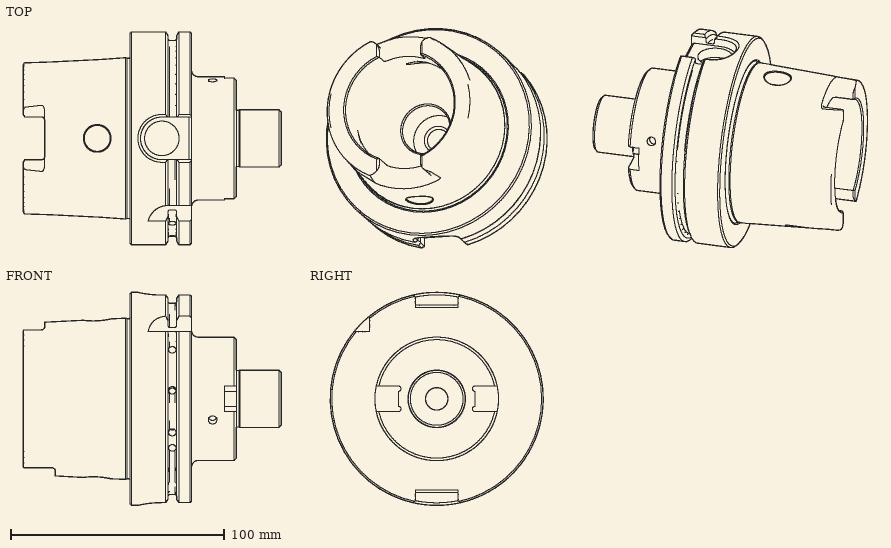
import cadquery as cq
import math


SHANK_LENGTH = 50.0
SHANK_END_RADIUS = 35.5
TAPER_SLOPE = 0.05
SHANK_END_ROUNDING = 1.2
RELIEF_START = 2.1
RELIEF_FLOOR_START = 1.4
RELIEF_RADIUS = 37.65
RELIEF_FILLET = 0.75
RELIEF_UNDERCUT = 0.2
RELIEF_RUNOUT_RADIUS = 39.0

FLANGE_WIDTH = 29.0
FLANGE_RADIUS = 50.0
FLANGE_CHAMFER = 0.8
GROOVE_CENTER = 19.9
GROOVE_FLOOR_WIDTH = 4.0
GROOVE_MOUTH_WIDTH = 6.2
GROOVE_FLOOR_RADIUS = 46.0
GROOVE_KNEE_RADIUS = 48.2
GROOVE_FILLET = 0.75

HUB_END = 50.0
HUB_RADIUS = 29.0
HUB_FILLET = 3.0
HUB_CHAMFER = 1.2
PILOT_END = 71.0
PILOT_RADIUS = 13.5
PILOT_CHAMFER = 1.1
PILOT_NECK_RADIUS = 13.3
PILOT_NECK_WIDTH = 1.2
PILOT_NECK_RUNOUT = 0.5

CLAMP_BORE_RADIUS = 26.5
CLAMP_BORE_CHAMFER = 0.7
CLAMP_BORE_LENGTH = 19.5
UNDERCUT_ANGLE = 12.0
UNDERCUT_FILLET = 5.0
CLAMP_FLOOR_RADIUS = 25.9
TUBE_BORE_RADIUS = 11.6
TUBE_BORE_CHAMFER = 0.7
TUBE_BORE_DEPTH = 20.0
THROUGH_RADIUS = 5.2
THROUGH_CHAMFER = 1.2

SHANK_SLOT_HALF_WIDTH = 10.0
SHANK_SLOT_DEPTH_TOP = 10.0
SHANK_SLOT_DEPTH_BOTTOM = 15.0
SHANK_SLOT_WALL_TOP = 27.4
SHANK_SLOT_CORNER_RADIUS = 5.0
SHANK_SLOT_END_FILLET = 1.5
SHANK_SLOT_MOUTH_CHAMFER = 1.1
SHANK_SLOT_MOUTH_LENGTH = 0.7

ACCESS_HOLE_X = -15.3
ACCESS_HOLE_RADIUS = 6.1
ACCESS_HOLE_CHAMFER = 0.4

KEYWAY_CENTER_X = 15.0
KEYWAY_RADIUS = 10.0
KEYWAY_FLOOR = 44.0
KEYWAY_EDGE_CHAMFER = 1.25
KEYWAY_FLOOR_CHAMFER = 1.2
DATA_HOLE_RADIUS = 8.1
DATA_HOLE_DEPTH = 5.0

NOTCH_CORNER = 31.5
NOTCH_CUTTER_RADIUS = 9.5
NOTCH_CUTTER_X = 17.8

GROOVE_HOLE_ANGLES = (30.0, 5.0, -20.0, -30.0)
GROOVE_HOLE_RADIUS = 1.75
GROOVE_HOLE_DEPTH = 8.0

HUB_SLOT_WIDTH = 12.0
HUB_SLOT_LENGTH = 5.5
HUB_SLOT_FLOOR = 18.0
HUB_SLOT_RELIEF_RADIUS = 1.25
SCREW_HOLE_X = 38.8
SCREW_HOLE_ANGLE = -20.0
SCREW_HOLE_RADIUS = 2.0
SCREW_HOLE_DEPTH = 5.0

DRILL_POINT_ANGLE = 118.0
CLEARANCE = 10.0

CORNER_ARC_INSET = 1 - math.sqrt(0.5)


def revolve_about_axis(profile):
    return profile.close().revolve(360, (0, 0, 0), (1, 0, 0))


def shank_radius(x):
    return SHANK_END_RADIUS + TAPER_SLOPE * (x + SHANK_LENGTH)


def make_body():
    rounding_end_x = -SHANK_LENGTH + SHANK_END_ROUNDING
    rounding_end_radius = shank_radius(rounding_end_x)
    rounding_inset = SHANK_END_ROUNDING * CORNER_ARC_INSET
    relief_fillet_x = RELIEF_UNDERCUT - RELIEF_FILLET
    relief_fillet_inset = RELIEF_FILLET * CORNER_ARC_INSET
    neck_end = HUB_END + PILOT_NECK_WIDTH
    arc_offset = HUB_FILLET * CORNER_ARC_INSET
    profile = (
        cq.Workplane("XZ")
        .moveTo(-SHANK_LENGTH, 0)
        .lineTo(-SHANK_LENGTH, rounding_end_radius - SHANK_END_ROUNDING)
        .threePointArc(
            (-SHANK_LENGTH + rounding_inset, rounding_end_radius - rounding_inset),
            (rounding_end_x, rounding_end_radius),
        )
        .lineTo(-RELIEF_START, shank_radius(-RELIEF_START))
        .lineTo(-RELIEF_FLOOR_START, RELIEF_RADIUS)
        .lineTo(relief_fillet_x, RELIEF_RADIUS)
        .threePointArc(
            (RELIEF_UNDERCUT - relief_fillet_inset, RELIEF_RADIUS + relief_fillet_inset),
            (RELIEF_UNDERCUT, RELIEF_RADIUS + RELIEF_FILLET),
        )
        .lineTo(0, RELIEF_RUNOUT_RADIUS)
        .lineTo(0, FLANGE_RADIUS - FLANGE_CHAMFER)
        .lineTo(FLANGE_CHAMFER, FLANGE_RADIUS)
        .lineTo(FLANGE_WIDTH - FLANGE_CHAMFER, FLANGE_RADIUS)
        .lineTo(FLANGE_WIDTH, FLANGE_RADIUS - FLANGE_CHAMFER)
        .lineTo(FLANGE_WIDTH, HUB_RADIUS + HUB_FILLET)
        .threePointArc(
            (FLANGE_WIDTH + arc_offset, HUB_RADIUS + arc_offset),
            (FLANGE_WIDTH + HUB_FILLET, HUB_RADIUS),
        )
        .lineTo(HUB_END - HUB_CHAMFER, HUB_RADIUS)
        .lineTo(HUB_END, HUB_RADIUS - HUB_CHAMFER)
        .lineTo(HUB_END, PILOT_NECK_RADIUS)
        .lineTo(neck_end, PILOT_NECK_RADIUS)
        .lineTo(neck_end + PILOT_NECK_RUNOUT, PILOT_RADIUS)
        .lineTo(PILOT_END - PILOT_CHAMFER, PILOT_RADIUS)
        .lineTo(PILOT_END, PILOT_RADIUS - PILOT_CHAMFER)
        .lineTo(PILOT_END, 0)
    )
    return revolve_about_axis(profile)


def make_axial_bores():
    mouth = -SHANK_LENGTH
    undercut_start = mouth + CLAMP_BORE_LENGTH
    cone_angle = math.radians(UNDERCUT_ANGLE)
    tangent_radius = CLAMP_FLOOR_RADIUS + UNDERCUT_FILLET * math.cos(cone_angle)
    tangent_x = undercut_start + (tangent_radius - CLAMP_BORE_RADIUS) / math.tan(cone_angle)
    fillet_center_x = tangent_x + UNDERCUT_FILLET * math.sin(cone_angle)
    fillet_middle = (
        fillet_center_x + UNDERCUT_FILLET * math.sqrt(0.5),
        CLAMP_FLOOR_RADIUS + UNDERCUT_FILLET * math.sqrt(0.5),
    )
    clamp_floor = fillet_center_x + UNDERCUT_FILLET
    tube_floor = clamp_floor + TUBE_BORE_DEPTH
    profile = (
        cq.Workplane("XZ")
        .moveTo(mouth, 0)
        .lineTo(mouth, CLAMP_BORE_RADIUS + CLAMP_BORE_CHAMFER)
        .lineTo(mouth + CLAMP_BORE_CHAMFER, CLAMP_BORE_RADIUS)
        .lineTo(undercut_start, CLAMP_BORE_RADIUS)
        .lineTo(tangent_x, tangent_radius)
        .threePointArc(fillet_middle, (clamp_floor, CLAMP_FLOOR_RADIUS))
        .lineTo(clamp_floor, TUBE_BORE_RADIUS + TUBE_BORE_CHAMFER)
        .lineTo(clamp_floor + TUBE_BORE_CHAMFER, TUBE_BORE_RADIUS)
        .lineTo(tube_floor, TUBE_BORE_RADIUS)
        .lineTo(tube_floor, THROUGH_RADIUS + THROUGH_CHAMFER)
        .lineTo(tube_floor + THROUGH_CHAMFER, THROUGH_RADIUS)
        .lineTo(PILOT_END, THROUGH_RADIUS)
        .lineTo(PILOT_END, 0)
    )
    return revolve_about_axis(profile)


def make_gripper_groove():
    half_floor = GROOVE_FLOOR_WIDTH / 2
    half_mouth = GROOVE_MOUTH_WIDTH / 2
    profile = (
        cq.Workplane("XZ")
        .moveTo(GROOVE_CENTER - half_floor, GROOVE_FLOOR_RADIUS)
        .lineTo(GROOVE_CENTER - half_floor, GROOVE_KNEE_RADIUS)
        .lineTo(GROOVE_CENTER - half_mouth, FLANGE_RADIUS)
        .lineTo(GROOVE_CENTER - half_mouth, FLANGE_RADIUS + CLEARANCE)
        .lineTo(GROOVE_CENTER + half_mouth, FLANGE_RADIUS + CLEARANCE)
        .lineTo(GROOVE_CENTER + half_mouth, FLANGE_RADIUS)
        .lineTo(GROOVE_CENTER + half_floor, GROOVE_KNEE_RADIUS)
        .lineTo(GROOVE_CENTER + half_floor, GROOVE_FLOOR_RADIUS)
    )
    floor_edges = cq.selectors.RadiusNthSelector(0)
    return revolve_about_axis(profile).edges(floor_edges).fillet(GROOVE_FILLET)


def make_shank_slot(depth):
    """Slot open upwards, with rounded shoulders and a filleted end."""
    shoulder_y = SHANK_SLOT_HALF_WIDTH + SHANK_SLOT_CORNER_RADIUS
    shoulder_z = SHANK_SLOT_WALL_TOP + SHANK_SLOT_CORNER_RADIUS
    arc_inset = SHANK_SLOT_CORNER_RADIUS * CORNER_ARC_INSET
    arc_middle = (SHANK_SLOT_HALF_WIDTH + arc_inset, shoulder_z - arc_inset)
    side = shoulder_y + CLEARANCE
    top = FLANGE_RADIUS
    mouth = -SHANK_LENGTH
    slot = (
        cq.Workplane("YZ", origin=(mouth, 0, 0))
        .moveTo(-SHANK_SLOT_HALF_WIDTH, 0)
        .lineTo(-SHANK_SLOT_HALF_WIDTH, SHANK_SLOT_WALL_TOP)
        .threePointArc((-arc_middle[0], arc_middle[1]), (-shoulder_y, shoulder_z))
        .lineTo(-side, shoulder_z)
        .lineTo(-side, top)
        .lineTo(side, top)
        .lineTo(side, shoulder_z)
        .lineTo(shoulder_y, shoulder_z)
        .threePointArc(arc_middle, (SHANK_SLOT_HALF_WIDTH, SHANK_SLOT_WALL_TOP))
        .lineTo(SHANK_SLOT_HALF_WIDTH, 0)
        .close()
        .extrude(depth)
        .faces(">X")
        .edges()
        .fillet(SHANK_SLOT_END_FILLET)
    )
    wide = SHANK_SLOT_HALF_WIDTH + SHANK_SLOT_MOUTH_CHAMFER
    mouth_chamfer = (
        cq.Workplane("XY")
        .moveTo(mouth, -wide)
        .lineTo(mouth + SHANK_SLOT_MOUTH_LENGTH, -SHANK_SLOT_HALF_WIDTH)
        .lineTo(mouth + SHANK_SLOT_MOUTH_LENGTH, SHANK_SLOT_HALF_WIDTH)
        .lineTo(mouth, wide)
        .close()
        .extrude(FLANGE_RADIUS)
    )
    return slot.union(mouth_chamfer)


def cut_access_hole(body):
    """Cut the hole along Z and break its rims on the shank surface."""
    hole = (
        cq.Workplane("XY", origin=(ACCESS_HOLE_X, 0, -FLANGE_RADIUS))
        .circle(ACCESS_HOLE_RADIUS)
        .extrude(2 * FLANGE_RADIUS)
    )
    reach = ACCESS_HOLE_RADIUS + ACCESS_HOLE_CHAMFER
    rim_height = math.sqrt(shank_radius(ACCESS_HOLE_X - reach) ** 2 - reach**2)
    body = body.cut(hole)
    for bottom, top in ((rim_height, FLANGE_RADIUS), (-FLANGE_RADIUS, -rim_height)):
        rim = cq.selectors.BoxSelector(
            (ACCESS_HOLE_X - reach, -reach, bottom),
            (ACCESS_HOLE_X + reach, reach, top),
            boundingbox=True,
        )
        body = body.edges(rim).chamfer(ACCESS_HOLE_CHAMFER)
    return body


def make_keyway():
    """Keyway open towards +X, with a straight wall on each side and a round end."""
    length = FLANGE_WIDTH - KEYWAY_CENTER_X
    plane = cq.Workplane("XY", origin=(KEYWAY_CENTER_X, 0, KEYWAY_FLOOR))
    return (
        plane.moveTo(0, KEYWAY_RADIUS)
        .threePointArc((-KEYWAY_RADIUS, 0), (0, -KEYWAY_RADIUS))
        .lineTo(length, -KEYWAY_RADIUS)
        .lineTo(length, KEYWAY_RADIUS)
        .close()
        .extrude(CLEARANCE)
    )


def cut_keyway(body):
    """Cut the keyway and break the edge where its wall meets the flange rim."""
    reach = KEYWAY_RADIUS + CLEARANCE
    rim_region = cq.selectors.BoxSelector(
        (KEYWAY_CENTER_X - reach, -reach, KEYWAY_FLOOR + FLANGE_CHAMFER),
        (FLANGE_WIDTH - FLANGE_CHAMFER / 2, reach, FLANGE_RADIUS + CLEARANCE),
        boundingbox=True,
    )
    return body.cut(make_keyway()).edges(rim_region).chamfer(KEYWAY_EDGE_CHAMFER)


def make_keyway_floor_chamfer():
    profile = (
        cq.Workplane("XZ", origin=(0, KEYWAY_RADIUS, 0))
        .moveTo(FLANGE_WIDTH - KEYWAY_FLOOR_CHAMFER, KEYWAY_FLOOR)
        .lineTo(FLANGE_WIDTH, KEYWAY_FLOOR - KEYWAY_FLOOR_CHAMFER)
        .lineTo(FLANGE_WIDTH, KEYWAY_FLOOR)
        .close()
    )
    return profile.extrude(2 * KEYWAY_RADIUS)


def make_data_hole():
    plane = cq.Workplane("XY", origin=(KEYWAY_CENTER_X, 0, KEYWAY_FLOOR - DATA_HOLE_DEPTH))
    return plane.circle(DATA_HOLE_RADIUS).extrude(DATA_HOLE_DEPTH)


def make_orientation_notch():
    """Notch milled along Z: floor facing up, wall facing -Y, rounded towards -X."""
    wall = -NOTCH_CORNER
    outer = wall - NOTCH_CUTTER_RADIUS
    left = NOTCH_CUTTER_X - NOTCH_CUTTER_RADIUS
    arc_inset = NOTCH_CUTTER_RADIUS * CORNER_ARC_INSET
    return (
        cq.Workplane("XY", origin=(0, 0, NOTCH_CORNER))
        .moveTo(NOTCH_CUTTER_X, wall)
        .threePointArc((left + arc_inset, wall - arc_inset), (left, outer))
        .lineTo(left, -FLANGE_RADIUS)
        .lineTo(FLANGE_WIDTH, -FLANGE_RADIUS)
        .lineTo(FLANGE_WIDTH, wall)
        .close()
        .extrude(FLANGE_RADIUS)
    )


def make_radial_hole(x, angle, surface_radius, hole_radius, depth):
    """Blind drilled hole whose axis leaves the part at the given angle from -Y towards +Z."""
    bottom = surface_radius - depth
    tip = bottom - hole_radius / math.tan(math.radians(DRILL_POINT_ANGLE / 2))
    outside = surface_radius + CLEARANCE
    hole = (
        cq.Workplane("XY", origin=(x, 0, 0))
        .moveTo(0, -tip)
        .lineTo(hole_radius, -bottom)
        .lineTo(hole_radius, -outside)
        .lineTo(0, -outside)
        .close()
        .revolve(360, (0, 0, 0), (0, 1, 0))
    )
    return hole.rotate((0, 0, 0), (1, 0, 0), -angle)


def make_hub_slot():
    """Driving slot on the -Y side of the hub, open to its end, with round reliefs along the floor."""
    outer = HUB_RADIUS + CLEARANCE
    depth = outer - HUB_SLOT_FLOOR
    relief_z = HUB_SLOT_WIDTH / 2 - HUB_SLOT_RELIEF_RADIUS
    start = (HUB_END - HUB_SLOT_LENGTH, -HUB_SLOT_FLOOR, 0)
    slot = (
        cq.Workplane("YZ", origin=start)
        .center(-depth / 2, 0)
        .rect(depth, HUB_SLOT_WIDTH)
        .extrude(HUB_SLOT_LENGTH)
    )
    reliefs = (
        cq.Workplane("YZ", origin=start)
        .pushPoints([(0, relief_z), (0, -relief_z)])
        .circle(HUB_SLOT_RELIEF_RADIUS)
        .extrude(HUB_SLOT_LENGTH)
    )
    return slot.union(reliefs)


def half_turn(shape):
    return shape.rotate((0, 0, 0), (1, 0, 0), 180)


result = make_body()
result = half_turn(cut_keyway(half_turn(cut_keyway(result))))
result = result.cut(make_gripper_groove())
result = cut_access_hole(result)
result = result.cut(make_axial_bores())

floor_chamfer = make_keyway_floor_chamfer()
result = result.cut(floor_chamfer).cut(half_turn(floor_chamfer))
result = result.cut(make_data_hole())
result = result.cut(make_orientation_notch())

result = result.cut(make_shank_slot(SHANK_SLOT_DEPTH_TOP))
result = result.cut(half_turn(make_shank_slot(SHANK_SLOT_DEPTH_BOTTOM)))

for hole_angle in GROOVE_HOLE_ANGLES:
    result = result.cut(
        make_radial_hole(
            GROOVE_CENTER, hole_angle, GROOVE_FLOOR_RADIUS, GROOVE_HOLE_RADIUS, GROOVE_HOLE_DEPTH
        )
    )

hub_slot = make_hub_slot()
screw_hole = make_radial_hole(
    SCREW_HOLE_X, SCREW_HOLE_ANGLE, HUB_RADIUS, SCREW_HOLE_RADIUS, SCREW_HOLE_DEPTH
)
for hub_cut in (hub_slot, screw_hole):
    result = result.cut(hub_cut).cut(half_turn(hub_cut))